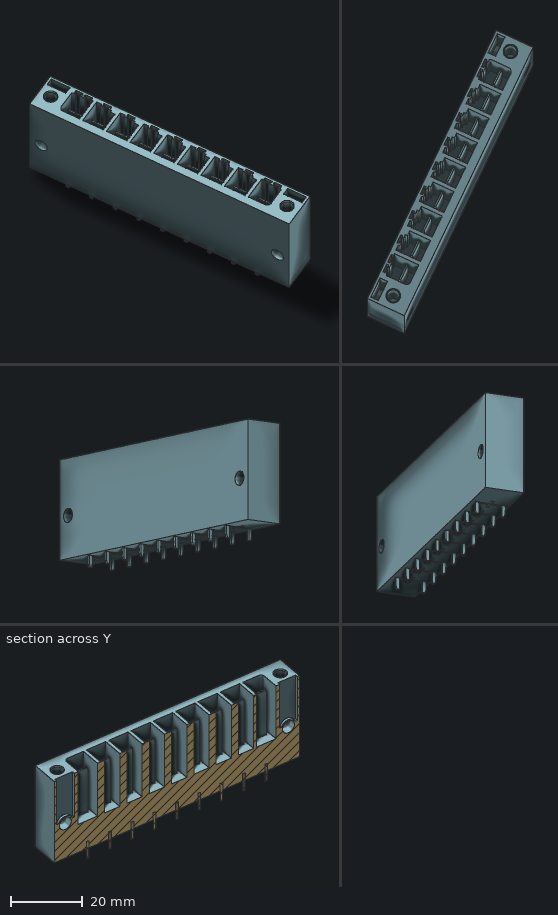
import cadquery as cq


HOUSING_LENGTH = 83.8
HOUSING_WIDTH = 11.4
HOUSING_HEIGHT = 28.4
LEG_LENGTH = 3.35
RECESS_BACK = 4.95
HOUSING_TOP = LEG_LENGTH + HOUSING_HEIGHT

POSITION_COUNT = 9
PITCH = 7.6
POSITION_XS = [(index - (POSITION_COUNT - 1) / 2) * PITCH for index in range(POSITION_COUNT)]

POCKET_DEPTH = 18.4
POCKET_FLOOR = HOUSING_TOP - POCKET_DEPTH
POCKET_HALF_LENGTH = 3.3
POCKET_FRONT = -3.2
LOW_SHOULDER = 3.2
MIDDLE_SHOULDER = 3.85
END_SHOULDER = 4.2
HIGH_SHOULDER = 4.4
SHOULDER_STEP = 1.8
FRONT_CORNER_RADIUS = 1.2
BACK_CORNER_RADIUS = 0.5

KEYWAY_HEAD_LENGTH = 2.35
KEYWAY_NECK_LENGTH = 1.25
END_KEYWAY_OFFSET = 1.5

FIXING_X = POSITION_XS[-1] + PITCH
FIXING_Z = LEG_LENGTH + 12.15
CROSS_HOLE_DIAMETER = 3.9
SADDLE_DIAMETER = 5.2
SADDLE_FOOT_Z = FIXING_Z + 1.0
NUT_SLOT_LENGTH = 5.95
NUT_SLOT_FRONT = 2.7
ROUND_HOLE_DIAMETER = 3.4
ROUND_HOLE_Y = -0.5
ROUND_HOLE_CHAMFER = 0.29

SHEET_THICKNESS = 0.8
BLADE_LENGTH = 4.5
BLADE_RECESS = 3.0
BLADE_TOP = HOUSING_TOP - BLADE_RECESS
TIP_TAPER_WIDTH = 0.15
TIP_TAPER_HEIGHT = 1.7
LEG_WIDTH = 1.0
LEG_OUTER_Y = 4.45
LEG_TAPER_WIDTH = 0.25
LEG_TAPER_HEIGHT = 0.75
BASE_STRIP_TOP = LEG_LENGTH + 2.5


def box(x_range, y_range, z_range):
    """A box between two limits along each axis."""
    sizes = [high - low for low, high in (x_range, y_range, z_range)]
    corner = (x_range[0], y_range[0], z_range[0])
    return cq.Workplane("XY").box(*sizes, centered=False).translate(corner)


def upright_prism(outline, bottom, top):
    """A straight prism over an XY outline."""
    return cq.Workplane("XY").workplane(offset=bottom).polyline(outline).close().extrude(top - bottom)


def keyway(x):
    """T-shaped keyway: a wide head joined to the pocket by a narrow neck."""
    half_head = KEYWAY_HEAD_LENGTH / 2
    half_neck = KEYWAY_NECK_LENGTH / 2
    depth_range = (POCKET_FLOOR, HOUSING_TOP)
    head = box((x - half_head, x + half_head), (HIGH_SHOULDER, RECESS_BACK), depth_range)
    neck = box((x - half_neck, x + half_neck), (LOW_SHOULDER, HIGH_SHOULDER), depth_range)
    return head.union(neck)


def middle_pocket():
    """Pocket with a stepped back wall and a single keyway, centred on X = 0."""
    outline = [
        (-POCKET_HALF_LENGTH, POCKET_FRONT),
        (POCKET_HALF_LENGTH, POCKET_FRONT),
        (POCKET_HALF_LENGTH, LOW_SHOULDER),
        (SHOULDER_STEP, LOW_SHOULDER),
        (SHOULDER_STEP, MIDDLE_SHOULDER),
        (-SHOULDER_STEP, MIDDLE_SHOULDER),
        (-SHOULDER_STEP, HIGH_SHOULDER),
        (-POCKET_HALF_LENGTH, HIGH_SHOULDER),
    ]
    return upright_prism(outline, POCKET_FLOOR, HOUSING_TOP).union(keyway(0))


def left_end_pocket():
    """Pocket with two keyways and rounded corners on its -X side, centred on X = 0."""
    outline = [
        (-POCKET_HALF_LENGTH, POCKET_FRONT),
        (POCKET_HALF_LENGTH, POCKET_FRONT),
        (POCKET_HALF_LENGTH, END_SHOULDER),
        (END_KEYWAY_OFFSET, END_SHOULDER),
        (END_KEYWAY_OFFSET, MIDDLE_SHOULDER),
        (-POCKET_HALF_LENGTH, MIDDLE_SHOULDER),
    ]
    pocket = upright_prism(outline, POCKET_FLOOR, HOUSING_TOP)
    pocket = pocket.edges("|Z").edges("<X").edges("<Y").fillet(FRONT_CORNER_RADIUS)
    pocket = pocket.edges("|Z").edges("<X").edges(">Y").fillet(BACK_CORNER_RADIUS)
    return pocket.union(keyway(-END_KEYWAY_OFFSET)).union(keyway(END_KEYWAY_OFFSET))


def cross_cylinder(x, diameter):
    """Cylinder along Y through the whole housing width, at the height of the fixing points."""
    cylinder = cq.Workplane("XZ", origin=(x, 0, FIXING_Z)).circle(diameter / 2)
    return cylinder.extrude(HOUSING_WIDTH / 2, both=True)


def fixing_cut(x):
    """Nut slot and round hole that end on the saddle, and the cross hole below it."""
    half_slot = NUT_SLOT_LENGTH / 2
    nut_slot = box(
        (x - half_slot, x + half_slot),
        (NUT_SLOT_FRONT, RECESS_BACK),
        (SADDLE_FOOT_Z, HOUSING_TOP),
    )
    round_hole = (
        cq.Workplane("XY", origin=(x, ROUND_HOLE_Y, SADDLE_FOOT_Z))
        .circle(ROUND_HOLE_DIAMETER / 2)
        .extrude(HOUSING_TOP - SADDLE_FOOT_Z)
    )
    rim = (
        cq.Workplane("XY", origin=(x, ROUND_HOLE_Y, HOUSING_TOP))
        .circle(ROUND_HOLE_DIAMETER / 2 + ROUND_HOLE_CHAMFER)
        .extrude(-ROUND_HOLE_CHAMFER, taper=45)
    )
    saddle = cross_cylinder(x, SADDLE_DIAMETER)
    cross_hole = cross_cylinder(x, CROSS_HOLE_DIAMETER)
    return nut_slot.union(round_hole).union(rim).cut(saddle).union(cross_hole)


def leg_pair(x):
    """Two legs joined by the base strip, as one flat outline in the YZ plane."""
    inner_y = LEG_OUTER_Y - LEG_WIDTH
    tip_y = LEG_OUTER_Y - LEG_TAPER_WIDTH
    front_half = [
        (-LEG_OUTER_Y, BASE_STRIP_TOP),
        (-LEG_OUTER_Y, LEG_TAPER_HEIGHT),
        (-tip_y, 0),
        (-inner_y, 0),
        (-inner_y, LEG_LENGTH),
    ]
    back_half = [(-y, z) for y, z in reversed(front_half)]
    legs = cq.Workplane("YZ", origin=(x, 0, 0)).polyline(front_half + back_half).close()
    return legs.extrude(SHEET_THICKNESS / 2, both=True)


def contact(x):
    """One contact: the blade in the pocket, the base strip below and the legs under the housing."""
    half_blade = BLADE_LENGTH / 2
    half_sheet = SHEET_THICKNESS / 2
    half_tip = half_sheet - TIP_TAPER_WIDTH
    taper_start = BLADE_TOP - TIP_TAPER_HEIGHT
    front_half = [(-half_sheet, LEG_LENGTH), (-half_sheet, taper_start), (-half_tip, BLADE_TOP)]
    back_half = [(-y, z) for y, z in reversed(front_half)]
    blade = cq.Workplane("YZ", origin=(x, 0, 0)).polyline(front_half + back_half).close()
    blade = blade.extrude(half_blade, both=True)
    return blade.union(leg_pair(x))


def housing(seated_contacts):
    """Block with pockets and fixing points, and seats that fit the contacts exactly."""
    body = box(
        (-HOUSING_LENGTH / 2, HOUSING_LENGTH / 2),
        (-HOUSING_WIDTH / 2, HOUSING_WIDTH / 2),
        (LEG_LENGTH, HOUSING_TOP),
    )
    for x in POSITION_XS[1:-1]:
        body = body.cut(middle_pocket().translate((x, 0, 0)))
    left_pocket = left_end_pocket().translate((POSITION_XS[0], 0, 0))
    body = body.cut(left_pocket).cut(left_pocket.mirror("YZ"))
    for x in (-FIXING_X, FIXING_X):
        body = body.cut(fixing_cut(x))
    for seated in seated_contacts:
        body = body.cut(seated)
    return body


contacts = [contact(x) for x in POSITION_XS]
result = cq.Compound.makeCompound([housing(contacts).val(), *[item.val() for item in contacts]])